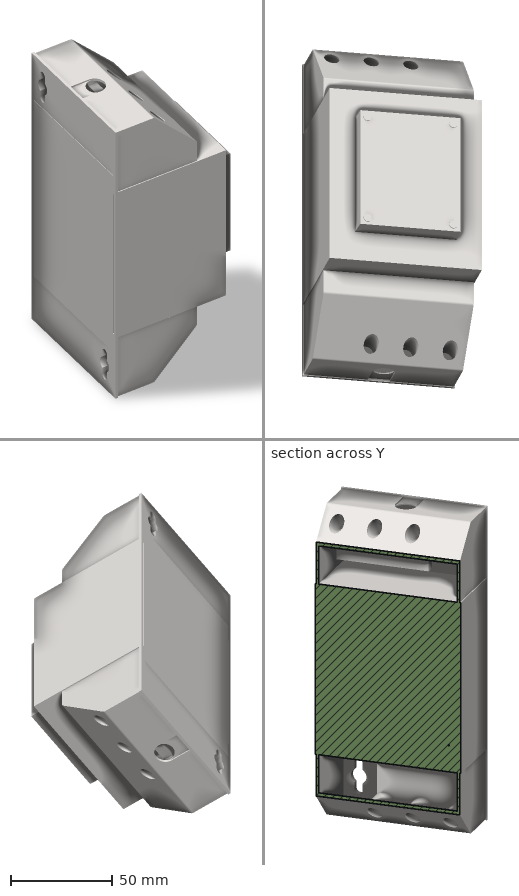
import cadquery as cq
import math

flange_width = 77.0
flange_height = 166.0
flange_thickness = 1.5

panel_width = 72.7
panel_height = 110.0
panel_thickness = 0.2
groove_width = 0.6
groove_height = 87.0

body_height = 90.6
body_back = 64.9
clip_width = 51.4
clip_tip_width = 50.6
clip_height = 60.6
clip_back = 75.8
pad_diameter = 4.0
pad_spacing_x = 43.4
pad_spacing_z = 53.6
pad_back = 76.3

cover_inset = 0.5
cover_back = 48.2
cover_slope_run = 25.3
cover_slope_fillet = 1.5
cover_wall = 1.5
cover_half_width = flange_width / 2 - cover_inset
cover_top = flange_height / 2 - cover_inset

wire_hole_diameter = 7.5
wire_tube_diameter = 12.0
wire_hole_xs = (-10.0, 10.0, 30.0)
wire_hole_z = 75.2
block_front = 12.1
block_back = 17.0
block_left = -13.6
block_right = 35.0
block_bottom = 51.0
block_top = wire_hole_z + wire_hole_diameter / 2

exit_width = 11.2
exit_center_y = 12.4
exit_recess_depth = 0.8
exit_hole_diameter = 10.8
exit_hole_y = 13.4

keyhole_x = -28.5
keyhole_z = 68.0
keyhole_diameter = 8.2
keyhole_slot_width = 4.3
keyhole_slot_length = 18.6


def box_between(x_range, y_range, z_range):
    """Box spanning the given (low, high) ranges."""
    lows, highs = zip(x_range, y_range, z_range)
    corners = [high - low for low, high in zip(lows, highs)]
    return cq.Workplane("XY").box(*corners, centered=False).translate(lows)


def centered_box(width, height, front, back):
    """Box centred in X and Z, running from front to back along Y."""
    half_width = width / 2
    half_height = height / 2
    return box_between((-half_width, half_width), (front, back), (-half_height, half_height))


def y_plane(y):
    """Workplane at the given y: local x is X, local y is Z, negative depths extrude toward +Y."""
    return cq.Workplane(cq.Plane(origin=(0, y, 0), xDir=(1, 0, 0), normal=(0, -1, 0)))


def y_cylinders(points, diameter, front, back):
    """Cylinders along Y at the given (x, z) points."""
    return y_plane(front).pushPoints(points).circle(diameter / 2).extrude(front - back)


def cover_prism(inset, front):
    """Five-sided prism of the upper cover, its walls moved inward by an inset."""
    bottom = body_height / 2
    back = cover_back - inset
    top = cover_top - inset
    slope_run = cover_slope_run - inset * (2 - math.sqrt(2))
    half_width = cover_half_width - inset
    outline = [
        (front, bottom),
        (back, bottom),
        (back, top - slope_run),
        (back - slope_run, top),
        (front, top),
    ]
    plane = cq.Workplane("YZ", origin=(-half_width, 0, 0))
    return plane.polyline(outline).close().extrude(2 * half_width)


def cover_outside():
    """Outer shape of the upper cover, with both edges of its slope rounded."""
    prism = cover_prism(0, flange_thickness)
    back_edge = cq.NearestToPointSelector((0, cover_back, cover_top - cover_slope_run))
    top_edge = cq.NearestToPointSelector((0, cover_back - cover_slope_run, cover_top))
    return prism.edges("|X").edges(back_edge + top_edge).fillet(cover_slope_fillet)


def cable_exit():
    """Round-ended recess in the end wall, with a hole through its floor kept inside its outline."""
    floor = cover_top - exit_recess_depth
    half_width = exit_width / 2
    recess = box_between((-half_width, half_width), (flange_thickness, exit_center_y), (floor, cover_top))
    floor_plane = cq.Workplane("XY", origin=(0, 0, floor))
    recess_end = floor_plane.center(0, exit_center_y).circle(half_width).extrude(exit_recess_depth)
    recess = recess.union(recess_end)
    hole = floor_plane.center(0, exit_hole_y).circle(exit_hole_diameter / 2).extrude(-exit_recess_depth)
    hole = hole.intersect(recess.translate((0, 0, -exit_recess_depth)))
    return recess.union(hole)


def terminal_cover():
    """Hollow upper cover with its terminal block, wire entries and cable exit."""
    outside = cover_outside()
    cavity = cover_prism(cover_wall, flange_thickness + cover_wall)
    entry_points = [(x, wire_hole_z) for x in wire_hole_xs]
    tubes = y_cylinders(entry_points, wire_tube_diameter, block_front, cover_back).intersect(outside)
    block = box_between((block_left, block_right), (block_front, block_back), (block_bottom, block_top))
    bores = y_cylinders(entry_points, wire_hole_diameter, block_back, cover_back)
    return outside.cut(cavity).union(tubes).union(block).cut(bores).cut(cable_exit())


def keyhole():
    """Slot with a round centre, cut through the flange and the cover's front wall."""
    depth = flange_thickness + cover_wall
    plane = y_plane(0).center(keyhole_x, keyhole_z)
    slot = plane.slot2D(keyhole_slot_length, keyhole_slot_width, 90).extrude(-depth)
    return slot.union(y_cylinders([(keyhole_x, keyhole_z)], keyhole_diameter, 0, depth))


def with_half_turn(shape):
    """The shape and its copy turned half a turn about the Y axis."""
    return shape.union(shape.rotate((0, 0, 0), (0, 1, 0), 180))


def panel_grooves():
    """Narrow grooves in the flange along both long sides of the label panel."""
    outer = centered_box(panel_width + 2 * groove_width, groove_height, 0, flange_thickness)
    return outer.cut(centered_box(panel_width, groove_height, 0, flange_thickness))


def rail_clip():
    """Block on the back that narrows slightly in width, with four round pads."""
    clip = (
        y_plane(body_back)
        .rect(clip_width, clip_height)
        .workplane(offset=body_back - clip_back)
        .rect(clip_tip_width, clip_height)
        .loft(ruled=True)
    )
    pad_points = [(side * pad_spacing_x / 2, end * pad_spacing_z / 2) for side in (-1, 1) for end in (-1, 1)]
    return clip.union(y_cylinders(pad_points, pad_diameter, clip_back, pad_back))


flange = centered_box(flange_width, flange_height, 0, flange_thickness)
body = centered_box(flange_width, body_height, 0, body_back)
panel = centered_box(panel_width, panel_height, -panel_thickness, 0)

housing = flange.union(body).union(with_half_turn(terminal_cover()))
housing = housing.cut(with_half_turn(keyhole())).cut(panel_grooves())
result = housing.union(panel).union(rail_clip())